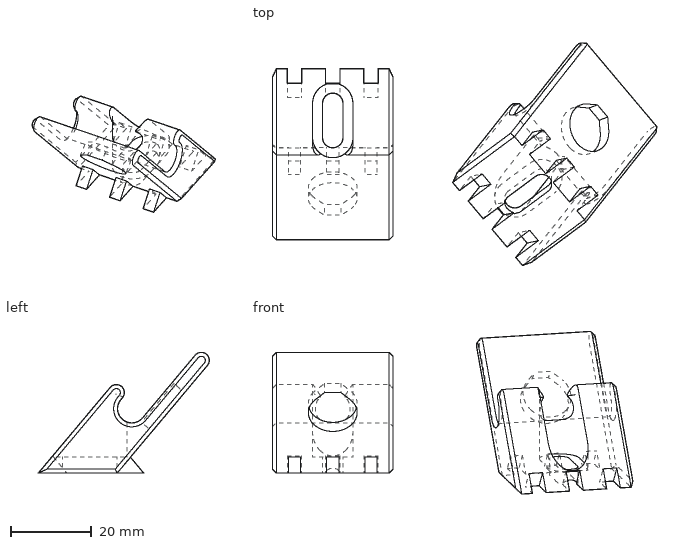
import cadquery as cq
import math

WIDTH = 30.0
HEIGHT = 30.0
LEAN_ANGLE = 50.0
THICKNESS = 15.0
ARM_THICKNESS = 4.0
GROOVE_CENTRE_RUN = 14.6
LIP_CENTRE_RUN = 15.2
EDGE_CHAMFER = 1.0

TOOTH_COUNT = 3
TOOTH_PITCH = 9.5
TOOTH_WIDTH = 3.0
TOOTH_LENGTH = 6.66
NOTCH_CLEARANCE = 0.5

SLOT_CENTRE_INSET = 12.85
SLOT_CENTRE_SPACING = 8.5
SCREW_WIDTH = 5.0
HEAD_WIDTH = 10.0
HEAD_FLOOR = 4.0

POCKET_DIAMETER = 12.1
POCKET_DEPTH = 3.5
POCKET_ROOF_REACH = 6.5

LEAN = math.radians(LEAN_ANGLE)
SIN = math.sin(LEAN)
COS = math.cos(LEAN)
BASE_LENGTH = THICKNESS / SIN
TIP_RADIUS = ARM_THICKNESS / 2
GROOVE_RADIUS = (THICKNESS - 2 * ARM_THICKNESS) / 2
GROOVE_CENTRE_DEPTH = ARM_THICKNESS + GROOVE_RADIUS
ARM_CENTRE_RUN = (HEIGHT - TIP_RADIUS - TIP_RADIUS * COS) / SIN
TOTAL_LENGTH = BASE_LENGTH + ARM_CENTRE_RUN * COS - TIP_RADIUS * SIN + TIP_RADIUS
SHARP_EDGE_Y = TOTAL_LENGTH / 2
BACK_EDGE_Y = SHARP_EDGE_Y - BASE_LENGTH
SLOT_Y = SHARP_EDGE_Y - SLOT_CENTRE_INSET


def lean_point(run, depth):
    """(Y, Z) of a point `run` up the back face and `depth` inside it."""
    return (BACK_EDGE_Y - run * COS + depth * SIN, run * SIN + depth * COS)


def extrude_across(profile, width, x_centre=0.0):
    """Extrude a closed YZ profile along X, centred on x_centre."""
    return profile.extrude(width / 2, both=True).translate((x_centre, 0, 0))


def hook_body():
    groove_front = THICKNESS - ARM_THICKNESS
    profile = (
        cq.Workplane("YZ")
        .moveTo(BACK_EDGE_Y, 0)
        .lineTo(*lean_point(ARM_CENTRE_RUN, 0))
        .threePointArc(
            lean_point(ARM_CENTRE_RUN + TIP_RADIUS, TIP_RADIUS),
            lean_point(ARM_CENTRE_RUN, ARM_THICKNESS),
        )
        .lineTo(*lean_point(GROOVE_CENTRE_RUN, ARM_THICKNESS))
        .threePointArc(
            lean_point(GROOVE_CENTRE_RUN - GROOVE_RADIUS, GROOVE_CENTRE_DEPTH),
            lean_point(GROOVE_CENTRE_RUN, groove_front),
        )
        .lineTo(*lean_point(LIP_CENTRE_RUN, groove_front))
        .threePointArc(
            lean_point(LIP_CENTRE_RUN + TIP_RADIUS, THICKNESS - TIP_RADIUS),
            lean_point(LIP_CENTRE_RUN, THICKNESS),
        )
        .lineTo(SHARP_EDGE_Y, 0)
        .close()
    )
    body = extrude_across(profile, WIDTH)
    return body.faces("<X or >X").chamfer(EDGE_CHAMFER)


def wedge_row(base_edge_y, width, length):
    """Row of triangular wedges whose two slopes both lean at LEAN, ending at base_edge_y."""
    apex_height = length / 2 * math.tan(LEAN)
    row = cq.Workplane("YZ")
    for index in range(TOOTH_COUNT):
        x_centre = (index - (TOOTH_COUNT - 1) / 2) * TOOTH_PITCH
        profile = (
            cq.Workplane("YZ")
            .moveTo(base_edge_y, 0)
            .lineTo(base_edge_y - length, 0)
            .lineTo(base_edge_y - length / 2, apex_height)
            .close()
        )
        row = row.add(extrude_across(profile, width, x_centre))
    return row.combine()


def upright_slot(width, bottom):
    """Vertical slot cutter lengthened along Y, open at the top."""
    return (
        cq.Workplane("XY", origin=(0, SLOT_Y, bottom))
        .slot2D(SLOT_CENTRE_SPACING + width, width, 90)
        .extrude(HEIGHT - bottom)
    )


def head_channel():
    """Round channel lying along the front face, opening the lip for the screw head."""
    start = (0, SLOT_Y, SLOT_CENTRE_INSET * math.tan(LEAN))
    plane = cq.Plane(origin=start, xDir=(1, 0, 0), normal=(0, -COS, SIN))
    return cq.Workplane(plane).circle(HEAD_WIDTH / 2).extrude(THICKNESS)


def back_pocket():
    """Round pocket with a 45 degree pointed top cut off flat, centred at mid height."""
    radius = POCKET_DIAMETER / 2
    tangent = radius * math.sqrt(0.5)
    roof_half_width = radius * math.sqrt(2) - POCKET_ROOF_REACH
    centre_y, centre_z = lean_point(HEIGHT / 2 / SIN, 0)
    plane = cq.Plane(origin=(0, centre_y, centre_z), xDir=(1, 0, 0), normal=(0, -SIN, -COS))
    return (
        cq.Workplane(plane)
        .moveTo(-tangent, tangent)
        .threePointArc((0, -radius), (tangent, tangent))
        .lineTo(roof_half_width, POCKET_ROOF_REACH)
        .lineTo(-roof_half_width, POCKET_ROOF_REACH)
        .close()
        .extrude(-POCKET_DEPTH)
    )


teeth = wedge_row(BACK_EDGE_Y, TOOTH_WIDTH, TOOTH_LENGTH)
notches = wedge_row(SHARP_EDGE_Y, TOOTH_WIDTH + NOTCH_CLEARANCE, TOOTH_LENGTH + NOTCH_CLEARANCE)
screw_slot = upright_slot(SCREW_WIDTH, 0)
head_slot = upright_slot(HEAD_WIDTH, HEAD_FLOOR)

result = (
    hook_body()
    .union(teeth)
    .cut(notches)
    .cut(screw_slot)
    .cut(head_slot)
    .cut(head_channel())
    .cut(back_pocket())
)